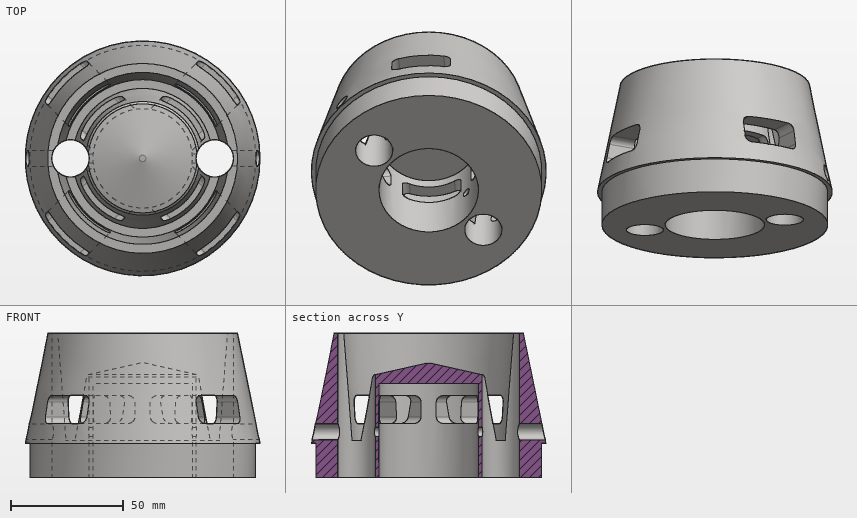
import cadquery as cq

height = 64.0
spigot_radius = 100.0 / 2
spigot_height = 15.2
shroud_bottom_radius = 52.0
shroud_top_radius = 42.0

floor_z = 16.5
channel_bottom_radius = 34.8
channel_top_radius = 38.1
hub_bottom_radius = 31.0
hub_top_radius = 25.2
hub_edge_height = 44.5
hub_bevel = 1.0
hub_tip_height = 50.6
hub_tip_diameter = 2.9

chamber_radius = 44.0 / 2
chamber_top_z = 41.6

window_width = 26.0
window_bottom_z = 23.9
window_height = 12.5
window_corner_radius = 3.0

vertical_hole_diameter = 16.4
vertical_hole_offset = 31.9
cross_hole_z = 20.3
cross_hole_diameter = 4.0
counterbore_diameter = 7.0

overall_diameter = 2 * shroud_bottom_radius


def revolve_profile(points):
    """Revolve a closed (radius, z) outline around the Z axis."""
    return cq.Workplane("XZ").polyline(points).close().revolve(360, (0, 0, 0), (0, 1, 0))


def make_body():
    """Shroud, channel floor and hub as one revolved solid."""
    return revolve_profile([
        (0, 0),
        (spigot_radius, 0),
        (spigot_radius, spigot_height),
        (shroud_bottom_radius, spigot_height),
        (shroud_top_radius, height),
        (channel_top_radius, height),
        (channel_bottom_radius, floor_z),
        (hub_bottom_radius, floor_z),
        (hub_top_radius, hub_edge_height),
        (hub_top_radius - hub_bevel, hub_edge_height + hub_bevel),
        (hub_tip_diameter / 2, hub_tip_height),
        (0, hub_tip_height),
    ])


def make_chamber():
    """Cylindrical chamber inside the hub."""
    return cq.Workplane("XY").circle(chamber_radius).extrude(chamber_top_z)


def make_window_bar(angle):
    """Rounded bar along one diameter that opens two opposite windows."""
    bar = (
        cq.Workplane("XY")
        .box(overall_diameter, window_width, window_height)
        .edges("|X")
        .fillet(window_corner_radius)
    )
    window_middle_z = window_bottom_z + window_height / 2
    return bar.translate((0, 0, window_middle_z)).rotate((0, 0, 0), (0, 0, 1), angle)


def make_x_rod(diameter, start, end):
    """Horizontal rod along X at the height of the cross holes."""
    return (
        cq.Workplane("YZ", origin=(start, 0, cross_hole_z))
        .circle(diameter / 2)
        .extrude(end - start)
    )


result = make_body().cut(make_chamber())
for diagonal_angle in (45, -45):
    result = result.cut(make_window_bar(diagonal_angle))

vertical_holes = (
    cq.Workplane("XY")
    .pushPoints([(-vertical_hole_offset, 0), (vertical_hole_offset, 0)])
    .circle(vertical_hole_diameter / 2)
    .extrude(height)
)
result = result.cut(vertical_holes)

result = result.cut(make_x_rod(cross_hole_diameter, -shroud_bottom_radius, shroud_bottom_radius))
for side in (-1, 1):
    counterbore = make_x_rod(
        counterbore_diameter, side * vertical_hole_offset, side * shroud_bottom_radius
    )
    result = result.cut(counterbore)